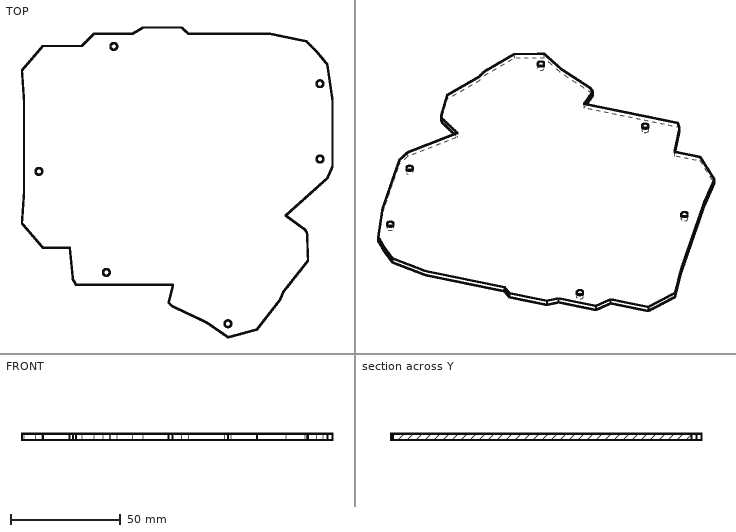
import cadquery as cq

length = 142.6
width = 142.2
thickness = 3.0
hole_diameter = 3.0

left_mid_y = 87.5
left_half_height = 35.1
left_shoulder = 46.4
left_flat_half = 20.7
left_inset = 1.0
left_chamfer = 9.7

upper_edge_y = 139.3
lower_edge_y = 24.1

left_top = left_mid_y + left_half_height
left_bottom = left_mid_y - left_half_height
shoulder_top = left_mid_y + left_shoulder
shoulder_bottom = left_mid_y - left_shoulder

left_wall = [
    (left_chamfer, shoulder_bottom),
    (0, left_bottom),
    (left_inset, left_mid_y - left_flat_half),
    (left_inset, left_mid_y + left_flat_half),
    (0, left_top),
    (left_chamfer, shoulder_top),
]
top_steps = [
    (27.5, shoulder_top),
    (33.1, upper_edge_y),
    (50.8, upper_edge_y),
    (55.6, width),
    (73.3, width),
    (76.5, upper_edge_y),
    (114.0, upper_edge_y),
]
right_wall = [
    (130.5, 135.9),
    (135.5, 131.0),
    (140.2, 125.2),
    (length, 108.7),
    (length, 78.5),
    (140.2, 73.0),
]
thumb_lobe = [
    (121.1, 55.9),
    (130.0, 49.5),
    (131.0, 47.9),
    (131.4, 35.2),
    (120.1, 21.0),
    (118.5, 17.3),
    (107.8, 3.5),
    (94.7, 0),
    (84.7, 6.8),
    (69.0, 14.3),
    (67.3, 16.0),
    (69.3, lower_edge_y),
]
lower_step = [
    (24.8, lower_edge_y),
    (23.4, 26.7),
    (22.0, shoulder_bottom),
]
outline = left_wall + top_steps + right_wall + thumb_lobe + lower_step

right_hole_x = 136.8
hole_centres = [
    (42.2, 133.5),
    (7.8, 76.2),
    (right_hole_x, 116.4),
    (right_hole_x, 81.9),
    (38.8, 29.8),
    (94.5, 6.3),
]

plate = cq.Workplane("XY").polyline(outline).close().extrude(thickness)
holes = cq.Workplane("XY").pushPoints(hole_centres).circle(hole_diameter / 2).extrude(thickness)

result = plate.cut(holes)